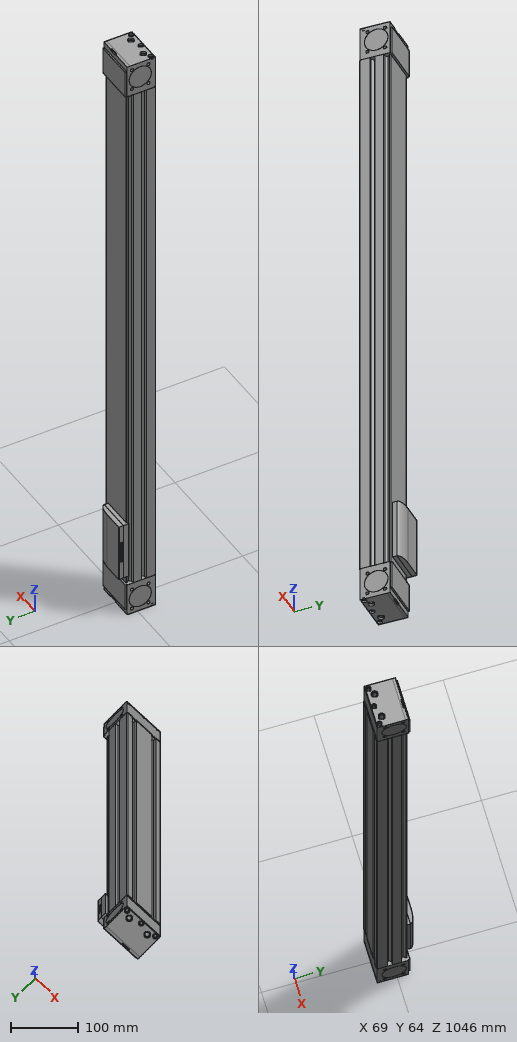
import cadquery as cq
import math

width = 69.0
depth = 64.0
length = 1046.0
side_x = width / 2
front_y = -depth / 2
back_y = depth / 2
end_z = length / 2

end_block_height = 57.0
profile_end_z = end_z - end_block_height
profile_back_y = 17.0
front_corner_chamfer = 1.5

slot_width = 8.0
slot_wall_depth = 5.0
slot_total_depth = 8.0
front_slot_x = 20.0
side_slot_y = 11.0

shoulder_y = side_slot_y + slot_width / 2
shoulder_width = slot_wall_depth

block_front_y = front_y + 1.0
block_back_y = 17.6
block_edge_chamfer = 1.0
slope_start_y = 13.0
slope_angle = 3.0
ledge_back_y = 20.3
ledge_drop = 10.0
ledge_side_inset = 1.5
relief_x = 8.0
relief_width = 14.0
relief_start_y = 15.5
relief_depth = 2.0

cover_diameter = 38.0
cover_thickness = 8.0
cover_y = -4.7
cover_drop = 27.0
cover_z = end_z - cover_drop
cover_screw_diameter = 5.0
cover_screw_depth = 10.0
cover_screw_y_offset = 14.2
cover_screw_z_offset = 18.0

large_hole_diameter = 7.0
large_counterbore_diameter = 10.0
large_hole_x = 18.5
large_hole_y = -19.3
small_hole_diameter = 4.5
small_counterbore_diameter = 8.0
small_hole_spacing = 29.0
small_hole_y = -25.8
counterbore_depth = 3.5
end_hole_depth = 25.0

carriage_length = 100.0
carriage_z = -400.0
carriage_right_x = 23.0
plate_bottom_y = 24.0
plate_crown_height = back_y - plate_bottom_y
plate_edge_chamfer = 1.0
recess_length = 36.0
recess_height = 3.0
recess_depth = 1.5
recess_y = 27.0


def slot_cutter(x, y, angle):
    """Full-length slot with a V-shaped floor, cut inwards from (x, y) along +Y turned by angle."""
    half = slot_width / 2
    section = (
        cq.Workplane("XY")
        .polyline([
            (-half, 0),
            (half, 0),
            (half, slot_wall_depth),
            (0, slot_total_depth),
            (-half, slot_wall_depth),
        ])
        .close()
        .extrude(2 * profile_end_z)
    )
    return section.rotate((0, 0, 0), (0, 0, 1), angle).translate((x, y, -profile_end_z))


def make_profile():
    """Extrusion with lowered rear shoulders and slots in its front and both sides."""
    rib_x = side_x - shoulder_width
    outline = [
        (-side_x, front_y + front_corner_chamfer),
        (-side_x + front_corner_chamfer, front_y),
        (side_x - front_corner_chamfer, front_y),
        (side_x, front_y + front_corner_chamfer),
        (side_x, shoulder_y),
        (rib_x, shoulder_y),
        (rib_x, profile_back_y),
        (-rib_x, profile_back_y),
        (-rib_x, shoulder_y),
        (-side_x, shoulder_y),
    ]
    body = (
        cq.Workplane("XY", origin=(0, 0, -profile_end_z))
        .polyline(outline)
        .close()
        .extrude(2 * profile_end_z)
    )
    for sign in (-1, 1):
        body = body.cut(slot_cutter(sign * front_slot_x, front_y, 0))
        body = body.cut(slot_cutter(-side_x, sign * side_slot_y, -90))
        body = body.cut(slot_cutter(side_x, sign * side_slot_y, 90))
    return body


def side_cylinder(side, y, z, diameter, thickness):
    """Cylinder reaching inwards from the left (-1) or right (+1) side face."""
    return cq.Workplane(
        cq.Solid.makeCylinder(
            diameter / 2, thickness, cq.Vector(side * side_x, y, z), cq.Vector(-side, 0, 0)
        )
    )


def make_bearing_cover(side):
    """Flush round cover of the upper end block."""
    return side_cylinder(side, cover_y, cover_z, cover_diameter, cover_thickness)


def make_end_block():
    """Upper end block with its rear ledge and relief, cover seats and screw holes."""
    slope_drop = (block_back_y - slope_start_y) * math.tan(math.radians(slope_angle))
    outline = [
        (block_front_y + block_edge_chamfer, profile_end_z),
        (block_front_y, profile_end_z + block_edge_chamfer),
        (block_front_y, end_z - block_edge_chamfer),
        (block_front_y + block_edge_chamfer, end_z),
        (slope_start_y, end_z),
        (block_back_y, end_z - slope_drop),
        (block_back_y, profile_end_z),
    ]
    block = (
        cq.Workplane("YZ", origin=(-side_x, 0, 0)).polyline(outline).close().extrude(width)
    )
    ledge = cq.Workplane("XY").box(
        width - 2 * ledge_side_inset,
        ledge_back_y - block_back_y,
        end_block_height - ledge_drop,
        centered=(True, False, False),
    )
    block = block.union(ledge.translate((0, block_back_y, profile_end_z)))

    relief = cq.Workplane("XY").box(
        relief_width, block_back_y - relief_start_y, relief_depth, centered=(True, False, False)
    )
    block = block.cut(relief.translate((relief_x, relief_start_y, end_z - relief_depth)))

    for side in (-1, 1):
        block = block.cut(make_bearing_cover(side))
        for y_sign in (-1, 1):
            for z_sign in (-1, 1):
                screw_y = cover_y + y_sign * cover_screw_y_offset
                screw_z = cover_z + z_sign * cover_screw_z_offset
                block = block.cut(
                    side_cylinder(side, screw_y, screw_z, cover_screw_diameter, cover_screw_depth)
                )

    end_face = cq.Workplane("XY", origin=(0, 0, end_z))
    large_points = [(sign * large_hole_x, large_hole_y) for sign in (-1, 1)]
    small_points = [(step * small_hole_spacing, small_hole_y) for step in (-1, 0, 1)]
    for points, hole_diameter, counterbore_diameter in (
        (large_points, large_hole_diameter, large_counterbore_diameter),
        (small_points, small_hole_diameter, small_counterbore_diameter),
    ):
        holes = end_face.pushPoints(points).circle(hole_diameter / 2).extrude(-end_hole_depth)
        seats = end_face.pushPoints(points).circle(counterbore_diameter / 2).extrude(-counterbore_depth)
        block = block.cut(holes).cut(seats)
    return block


def make_carriage_slide():
    """Slide resting on the profile and filling its left shoulder."""
    rib_left_x = -side_x + shoulder_width
    outline = [
        (-side_x, shoulder_y),
        (rib_left_x, shoulder_y),
        (rib_left_x, profile_back_y),
        (carriage_right_x, profile_back_y),
        (carriage_right_x, plate_bottom_y),
        (-side_x, plate_bottom_y),
    ]
    return (
        cq.Workplane("XY", origin=(0, 0, carriage_z - carriage_length / 2))
        .polyline(outline)
        .close()
        .extrude(carriage_length)
    )


def make_carriage_plate():
    """Plate with a quarter-ellipse crown on its right and a shallow recess in its left side."""
    plate = (
        cq.Workplane("XY", origin=(0, 0, carriage_z - carriage_length / 2))
        .moveTo(-side_x, plate_bottom_y)
        .lineTo(-side_x, back_y - plate_edge_chamfer)
        .lineTo(-side_x + plate_edge_chamfer, back_y)
        .lineTo(0, back_y)
        .ellipseArc(carriage_right_x, plate_crown_height, 0, 90, sense=-1)
        .close()
        .extrude(carriage_length)
    )
    recess = cq.Workplane("XY").box(
        recess_depth, recess_height, recess_length, centered=(False, True, True)
    )
    return plate.cut(recess.translate((-side_x, recess_y, carriage_z)))


profile = make_profile()
upper_block = make_end_block()
carriage_slide = make_carriage_slide()
carriage_plate = make_carriage_plate()

bodies = [profile.val(), carriage_slide.val(), carriage_plate.val()]
for upper_body in (upper_block, make_bearing_cover(-1), make_bearing_cover(1)):
    bodies.append(upper_body.val())
    bodies.append(upper_body.mirror("XY").val())

result = cq.Compound.makeCompound(bodies)